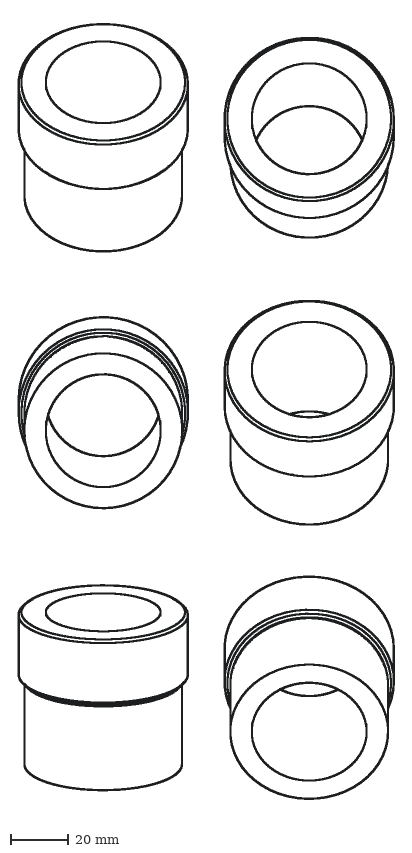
import cadquery as cq

collar_diameter = 59.0
body_diameter = 55.0
bore_diameter = 40.0
total_height = 56.0

collar_height = 23.95
collar_chamfer = 1.0
groove_depth = 0.5
groove_width = 0.65
groove_taper_height = 0.5

collar_radius = collar_diameter / 2
body_radius = body_diameter / 2
bore_radius = bore_diameter / 2
groove_radius = body_radius - groove_depth
collar_bottom = total_height - collar_height
groove_bottom = collar_bottom - groove_width

half_section = (
    cq.Workplane("XZ")
    .moveTo(bore_radius, 0)
    .lineTo(body_radius, 0)
    .lineTo(body_radius, groove_bottom - groove_taper_height)
    .lineTo(groove_radius, groove_bottom)
    .lineTo(groove_radius, collar_bottom)
    .lineTo(collar_radius - collar_chamfer, collar_bottom)
    .lineTo(collar_radius, collar_bottom + collar_chamfer)
    .lineTo(collar_radius, total_height - collar_chamfer)
    .lineTo(collar_radius - collar_chamfer, total_height)
    .lineTo(bore_radius, total_height)
    .close()
)

result = half_section.revolve(360, (0, 0, 0), (0, 1, 0))